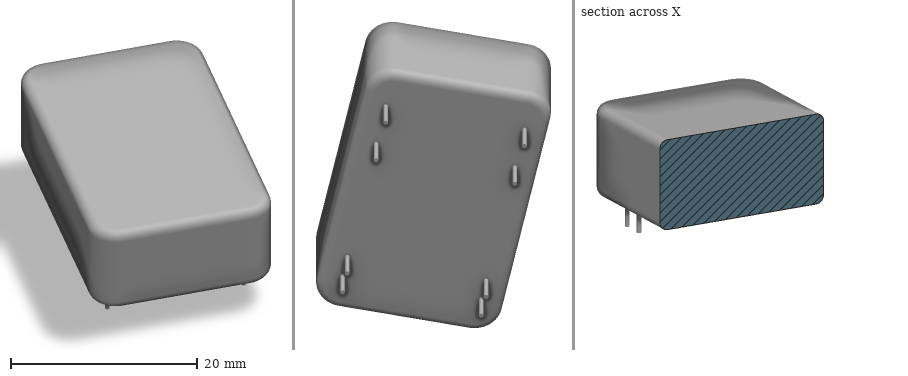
import cadquery as cq

body_length = 31.8
body_width = 20.3
body_height = 10.2
overall_height = 13.25
corner_radius = 3.0
edge_radius = 1.0

pitch = 2.54
row_spacing = 6 * pitch
pin_diameter = 0.5
pin_length = overall_height - body_height
end_pin_x = 11.45
pin_x_positions = [-end_pin_x, -end_pin_x + 2 * pitch, end_pin_x - pitch, end_pin_x]


def make_body():
    """Block with rounded vertical corners and rounded top and bottom rims, resting on Z = 0."""
    block = cq.Workplane("XY").box(body_length, body_width, body_height, centered=(True, True, False))
    rounded_block = block.edges("|Z").fillet(corner_radius)
    return rounded_block.faces("<Z or >Z").edges().fillet(edge_radius)


def make_pins():
    """Two matching rows of round pins hanging from the underside."""
    pin_centers = [(x, side * row_spacing / 2) for side in (-1, 1) for x in pin_x_positions]
    return cq.Workplane("XY").pushPoints(pin_centers).circle(pin_diameter / 2).extrude(-pin_length)


result = make_body().union(make_pins())